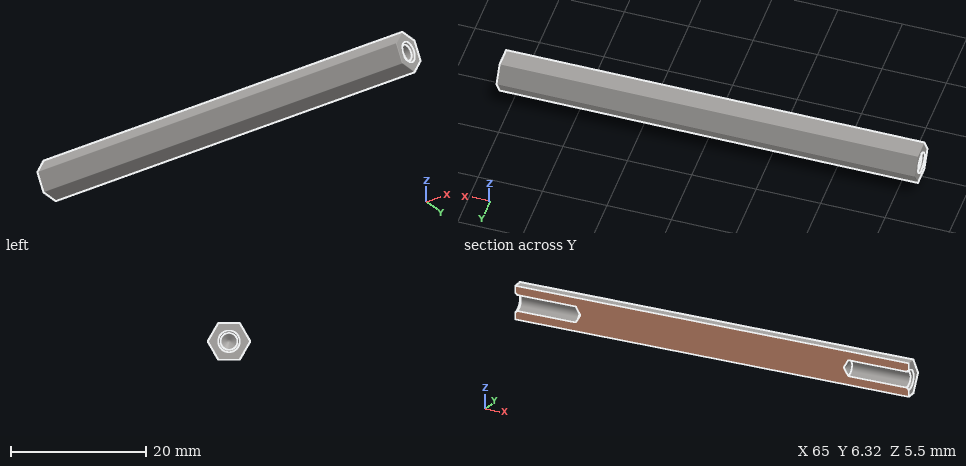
import cadquery as cq
import math

length = 65.0
across_flats = 5.5
edge_radius = 0.1

hole_diameter = 2.5
hole_depth = 10.0
drill_point_angle = 120.0
countersink_diameter = 3.2
countersink_angle = 90.0


def hexagonal_bar():
    """Bar from x = 0 to x = length, with flats on top and bottom and corners at +Y and -Y."""
    across_corners = across_flats / math.cos(math.radians(30))
    bar = cq.Workplane("YZ").polygon(6, across_corners).extrude(length)
    bar = bar.edges("|X").fillet(edge_radius)
    return bar.faces("<X or >X").edges().fillet(edge_radius)


def cone_height(radius_change, full_angle):
    """Height of a cone frustum whose radius changes by the given amount."""
    return radius_change / math.tan(math.radians(full_angle / 2))


def drilled_hole():
    """Cutter for the hole at x = 0: countersink, bore and drill point, revolved about the X axis."""
    hole_radius = hole_diameter / 2
    countersink_radius = countersink_diameter / 2
    countersink_depth = cone_height(countersink_radius - hole_radius, countersink_angle)
    point_depth = cone_height(hole_radius, drill_point_angle)
    profile = (
        cq.Workplane("XY")
        .moveTo(0, 0)
        .lineTo(0, countersink_radius)
        .lineTo(countersink_depth, hole_radius)
        .lineTo(hole_depth, hole_radius)
        .lineTo(hole_depth + point_depth, 0)
        .close()
    )
    return profile.revolve(360, (0, 0, 0), (1, 0, 0))


near_hole = drilled_hole()
far_hole = near_hole.mirror("YZ", (length / 2, 0, 0))

result = hexagonal_bar().cut(near_hole).cut(far_hole)